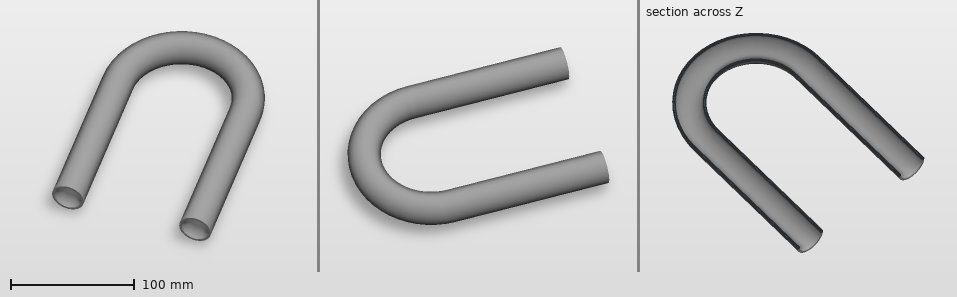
import cadquery as cq

outer_diameter = 26.8
inner_diameter = 22.9
overall_width = 135.0
overall_length = 197.3

bend_radius = (overall_width - outer_diameter) / 2
leg_length = overall_length - overall_width / 2


def u_centreline():
    """Leg, half-circle bend and leg, starting at the open end on -X."""
    return (
        cq.Workplane("XY")
        .moveTo(-bend_radius, -leg_length)
        .lineTo(-bend_radius, 0)
        .threePointArc((0, bend_radius), (bend_radius, 0))
        .lineTo(bend_radius, -leg_length)
    )


def tube():
    """Ring section swept along the centreline."""
    ring = (
        cq.Workplane("XZ", origin=(-bend_radius, -leg_length, 0))
        .circle(outer_diameter / 2)
        .circle(inner_diameter / 2)
    )
    return ring.sweep(u_centreline())


result = tube()